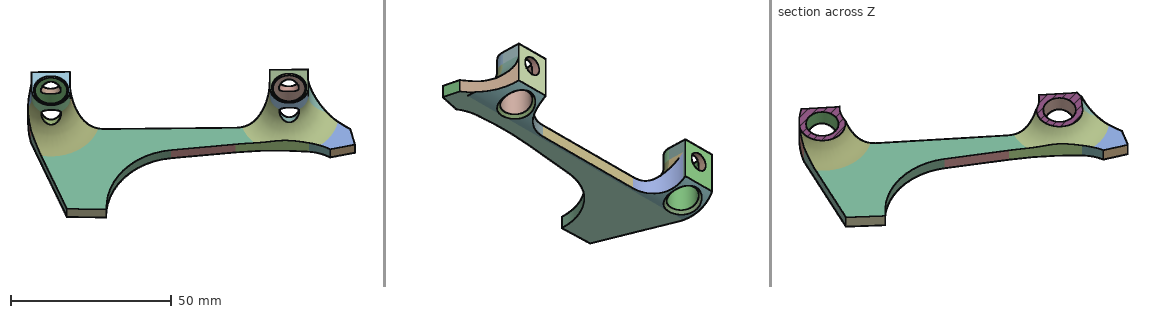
import cadquery as cq
import math

row_angle = 32.5
boss_spacing = 74.18

plate_thickness = 4.3
total_height = 18.2

boss_radius = 6.0
flat_distance = 7.0
flare_radius = 9.5
flare_top = plate_thickness + flare_radius
flare_reach = boss_radius + flare_radius

bore_radius = 5.0
bore_chamfer = 0.4
cross_hole_diameter = 6.2
cross_hole_height = 12.6

underside_tangent = -6.0

bore_relief = 1.0

neck_radius = 11.0
neck_start = 6.0

foot_outer = (23.1, -27.88)
foot_inner = (33.65, -21.6)
foot_arc_middle = (29.95, -9.35)
foot_arc_end = (38.6, 8.6)
taper_end = (54.55, 21.15)
strap_end = (73.9, 33.45)
tip_lower = (80.6, 35.0)
tip_point = (86.25, 40.65)
tip_upper = (81.85, 45.0)
tip_arc_middle = (71.4, 46.5)
cheek_middle = (-7.65, -0.9)
cheek_end = (-6.1, -3.8)
cheek_foot = (-1.5, -9.35)


def place(along, across):
    """Turn a position in the boss-row frame into X, Y."""
    angle = math.radians(row_angle)
    x = along * math.cos(angle) - across * math.sin(angle)
    y = along * math.sin(angle) + across * math.cos(angle)
    return (x, y)


def in_row_frame(body, along):
    """Turn a body built along +X into the boss row and shift it along that row."""
    x, y = place(along, 0)
    return body.rotate((0, 0, 0), (0, 0, 1), row_angle).translate((x, y, 0))


def outline():
    """Closed plan outline of the whole bracket."""
    first_side = boss_radius
    second_side = boss_spacing - boss_radius
    diagonal = neck_radius * (1 - math.sqrt(0.5))
    strap_edge = neck_start - neck_radius
    diagonal_across = strap_edge + diagonal
    return (
        cq.Workplane("XY")
        .moveTo(*foot_outer)
        .lineTo(*foot_inner)
        .threePointArc(foot_arc_middle, foot_arc_end)
        .lineTo(*taper_end)
        .tangentArcPoint(strap_end, relative=False)
        .tangentArcPoint(tip_lower, relative=False)
        .lineTo(*tip_point)
        .lineTo(*tip_upper)
        .threePointArc(tip_arc_middle, place(boss_spacing + boss_radius, flat_distance))
        .lineTo(*place(second_side, flat_distance))
        .lineTo(*place(second_side, neck_start))
        .threePointArc(
            place(second_side - diagonal, diagonal_across),
            place(second_side - neck_radius, strap_edge),
        )
        .lineTo(*place(first_side + neck_radius, strap_edge))
        .threePointArc(
            place(first_side + diagonal, diagonal_across),
            place(first_side, neck_start),
        )
        .lineTo(*place(first_side, flat_distance))
        .lineTo(*place(-boss_radius, flat_distance))
        .threePointArc(cheek_middle, cheek_end)
        .tangentArcPoint(cheek_foot, relative=False)
        .close()
    )


def flare_profile():
    """Half section of a boss: straight wall above, concave flare running out onto the plate."""
    middle_step = flare_radius * (1 - math.sqrt(0.5))
    return (
        cq.Workplane("XZ")
        .lineTo(flare_reach, 0)
        .lineTo(flare_reach, plate_thickness)
        .threePointArc(
            (boss_radius + middle_step, plate_thickness + middle_step),
            (boss_radius, flare_top),
        )
        .lineTo(boss_radius, total_height)
        .lineTo(0, total_height)
        .close()
    )


def boss(along):
    """Flared boss: round on the inner side, straight-sided out to the flat face."""
    round_side = flare_profile().revolve(360, (0, 0, 0), (0, 1, 0))
    half_block = flare_profile().extrude(-flat_distance)
    body = round_side.union(half_block).union(half_block.mirror("YZ"))
    return in_row_frame(body, along)


def bore(along):
    """Vertical through bore with a chamfered mouth."""
    mouth_radius = bore_radius + bore_chamfer
    section = (
        cq.Workplane("XZ")
        .lineTo(bore_radius, 0)
        .lineTo(bore_radius, total_height - bore_chamfer)
        .lineTo(mouth_radius, total_height)
        .lineTo(0, total_height)
        .close()
    )
    return in_row_frame(section.revolve(360, (0, 0, 0), (0, 1, 0)), along)


def cross_hole(along):
    """Horizontal hole through both walls of a boss, square to the flat face."""
    hole = (
        cq.Workplane("XZ")
        .center(0, cross_hole_height)
        .circle(cross_hole_diameter / 2)
        .extrude(flat_distance + flare_reach, both=True)
    )
    return in_row_frame(hole, along)


def underside_round():
    """Cutter for the underside: an arc tangent to the plate bottom, rising to the flat faces."""
    run = flat_distance - underside_tangent
    radius = (run**2 + plate_thickness**2) / (2 * plate_thickness)
    half_angle = math.atan2(plate_thickness, run)
    middle = (
        underside_tangent + radius * math.sin(half_angle),
        radius * (1 - math.cos(half_angle)),
    )
    cutter = (
        cq.Workplane("YZ")
        .moveTo(underside_tangent, 0)
        .threePointArc(middle, (flat_distance, plate_thickness))
        .lineTo(flat_distance, 0)
        .close()
        .extrude(boss_spacing + 2 * flare_reach)
    )
    return in_row_frame(cutter, -flare_reach)


def lower_mouth(along):
    """Selector for the edge where a bore breaks through the curved underside."""
    x, y = place(along, 0)
    reach = bore_radius / 2
    return cq.selectors.BoxSelector(
        (x - reach, y - reach, 0),
        (x + reach, y + reach, plate_thickness),
    )


boss_positions = (0, boss_spacing)

bosses = boss(boss_positions[0]).union(boss(boss_positions[1]))
result = outline().extrude(total_height).intersect(bosses)
result = result.union(outline().extrude(plate_thickness))
result = result.cut(underside_round())
for position in boss_positions:
    result = result.cut(bore(position))
    result = result.edges(lower_mouth(position)).chamfer(bore_relief)
    result = result.cut(cross_hole(position))